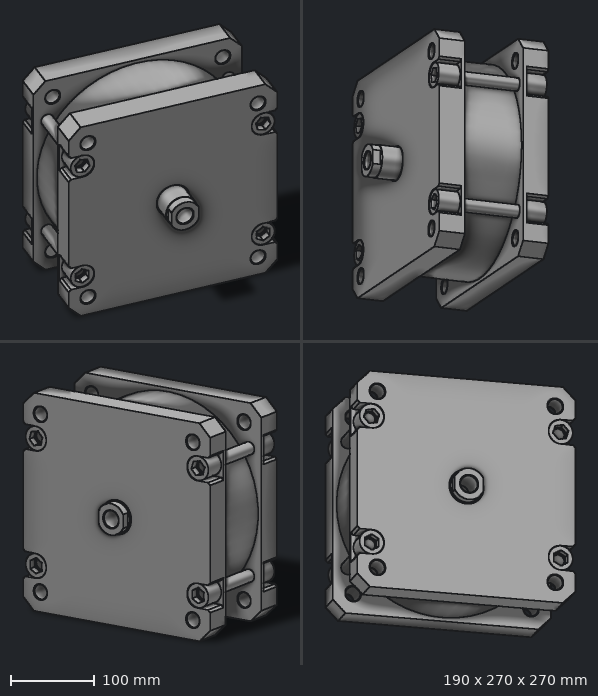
import cadquery as cq
import math


plate_side = 270.0
plate_thickness = 33.0
plate_corner_chamfer = 15.5
barrel_length = 75.0
barrel_diameter = 261.0

mount_hole_pitch = 220.0
mount_hole_diameter = 18.0
hole_edge_chamfer = 1.0

rod_diameter = 40.0
rod_end_diameter = 39.0
rod_left_projection = 12.0
rod_right_projection = 37.0
rod_flats_width = 35.0
rod_flat_length = 9.5
rod_neck_length = 11.5
rod_thread_diameter = 21.0
rod_thread_depth = 40.0
rod_thread_tip_angle = 118.0
rod_thread_chamfer = 1.0
rod_bore_chamfer = 1.3

tie_pitch_y = 234.0
tie_pitch_z = 157.5
tie_diameter = 16.0
tie_head_diameter = 30.0
tie_head_recess = 0.8
tie_socket_width = 17.0
tie_socket_depth = 10.0
tie_pilot_diameter = 15.0
tie_pilot_depth = 12.0
upper_socket_turn = 13.0
lower_socket_turn = 30.0

slot_width = 30.6
slot_depth = 28.0
slot_mouth_chamfer = 3.0

inner_face = barrel_length / 2
outer_face = inner_face + plate_thickness
slot_floor = outer_face - slot_depth
tie_end = outer_face - tie_head_recess
tie_y = tie_pitch_y / 2
tie_z = tie_pitch_z / 2
rod_left_end = -outer_face - rod_left_projection
rod_right_end = outer_face + rod_right_projection


def at_x(x):
    """Workplane across the axis at x, facing +X, with local axes Y and Z."""
    return cq.Workplane("YZ", origin=(x, 0, 0))


def mirrored_to_left(shape):
    """Copy reflected through the plane X = 0."""
    return shape.mirror("YZ")


def cone_cut(x, small_diameter, depth):
    """Cutter that chamfers a hole at x by depth, opening toward +X."""
    large_diameter = small_diameter + 2 * depth
    rim = at_x(x).circle(large_diameter / 2)
    return rim.workplane(offset=-depth).circle(small_diameter / 2).loft()


def make_head_slot(side_y, side_z):
    """Round-ended slot, open to the plate side, with a chamfered mouth."""
    radius = slot_width / 2
    edge_y = plate_side / 2
    mouth_y = edge_y - slot_mouth_chamfer
    mouth_half = radius + slot_mouth_chamfer
    return (
        at_x(slot_floor)
        .moveTo(side_y * tie_y, side_z * tie_z - radius)
        .lineTo(side_y * mouth_y, side_z * tie_z - radius)
        .lineTo(side_y * edge_y, side_z * tie_z - mouth_half)
        .lineTo(side_y * edge_y, side_z * tie_z + mouth_half)
        .lineTo(side_y * mouth_y, side_z * tie_z + radius)
        .lineTo(side_y * tie_y, side_z * tie_z + radius)
        .threePointArc(
            (side_y * (tie_y - radius), side_z * tie_z),
            (side_y * tie_y, side_z * tie_z - radius),
        )
        .close()
        .extrude(slot_depth)
    )


def make_right_plate():
    """Square end plate with mounting holes, tie rod holes, head slots and a rod bore."""
    plate = at_x(inner_face).rect(plate_side, plate_side).extrude(plate_thickness)
    plate = plate.edges("|X").chamfer(plate_corner_chamfer)

    mount_holes = (
        at_x(inner_face)
        .rect(mount_hole_pitch, mount_hole_pitch, forConstruction=True)
        .vertices()
        .circle(mount_hole_diameter / 2)
        .extrude(plate_thickness)
    )
    plate = plate.cut(mount_holes)
    plate = plate.edges("%CIRCLE").chamfer(hole_edge_chamfer)

    tie_holes = (
        at_x(inner_face)
        .rect(tie_pitch_y, tie_pitch_z, forConstruction=True)
        .vertices()
        .circle(tie_diameter / 2)
        .extrude(plate_thickness)
    )
    plate = plate.cut(tie_holes)
    for side_y in (-1, 1):
        for side_z in (-1, 1):
            plate = plate.cut(make_head_slot(side_y, side_z))

    rod_bore = at_x(inner_face).circle(rod_diameter / 2).extrude(plate_thickness)
    return plate.cut(rod_bore).cut(cone_cut(outer_face, rod_diameter, rod_bore_chamfer))


def make_barrel():
    """Round barrel between the plates, bored for the piston rod."""
    return at_x(-inner_face).circle(barrel_diameter / 2).circle(rod_diameter / 2).extrude(barrel_length)


def make_flat_cutter(end_x, side_y):
    """Wrench flat at the right rod end, running out in a 45 degree slope."""
    flat_y = rod_flats_width / 2
    runout = rod_neck_length - rod_flat_length
    flat_start = end_x - rod_flat_length
    return (
        cq.Workplane("XY")
        .moveTo(end_x, side_y * flat_y)
        .lineTo(flat_start, side_y * flat_y)
        .lineTo(flat_start - runout, side_y * (flat_y + runout))
        .lineTo(end_x, side_y * (flat_y + runout))
        .close()
        .extrude(rod_diameter / 2, both=True)
    )


def make_thread_hole(end_x):
    """Drilled hole with a pointed tip and a chamfered rim, at the right rod end."""
    radius = rod_thread_diameter / 2
    rim_radius = radius + rod_thread_chamfer
    floor_x = end_x - rod_thread_depth
    tip_x = floor_x - radius / math.tan(math.radians(rod_thread_tip_angle / 2))
    return (
        cq.Workplane("XY")
        .moveTo(tip_x, 0)
        .lineTo(floor_x, radius)
        .lineTo(end_x - rod_thread_chamfer, radius)
        .lineTo(end_x, rim_radius)
        .lineTo(end_x, 0)
        .close()
        .revolve(360, (0, 0, 0), (1, 0, 0))
    )


def make_end_turning(end_x):
    """Ring that turns the right rod end down to its smaller diameter."""
    neck_x = end_x - rod_neck_length
    return at_x(neck_x).circle(rod_diameter).circle(rod_end_diameter / 2).extrude(rod_neck_length)


def make_rod_end_cutters(end_x):
    """Everything removed from a rod end that points right."""
    return [
        make_end_turning(end_x),
        make_flat_cutter(end_x, 1),
        make_flat_cutter(end_x, -1),
        make_thread_hole(end_x),
    ]


def make_piston_rod():
    """Rod through the whole cylinder with flats and a thread hole at both ends."""
    rod = at_x(rod_left_end).circle(rod_diameter / 2).extrude(rod_right_end - rod_left_end)
    for cutter in make_rod_end_cutters(rod_right_end):
        rod = rod.cut(cutter)
    for cutter in make_rod_end_cutters(-rod_left_end):
        rod = rod.cut(mirrored_to_left(cutter))
    return rod


def make_tie_rod(side_y, side_z):
    """Tie rod with a round socket head at each end."""
    centre = (side_y * tie_y, side_z * tie_z)
    socket_turn = upper_socket_turn if side_z > 0 else lower_socket_turn
    head_length = tie_end - slot_floor
    socket_corner_diameter = tie_socket_width / math.cos(math.pi / 6)

    shank = at_x(-slot_floor).center(*centre).circle(tie_diameter / 2).extrude(2 * slot_floor)
    head = at_x(slot_floor).center(*centre).circle(tie_head_diameter / 2).extrude(head_length)
    socket = (
        at_x(tie_end)
        .center(*centre)
        .transformed(rotate=(0, 0, -socket_turn))
        .polygon(6, socket_corner_diameter)
        .extrude(-tie_socket_depth)
    )
    pilot = at_x(tie_end).center(*centre).circle(tie_pilot_diameter / 2).extrude(-tie_pilot_depth)
    head = head.cut(socket).cut(pilot)
    return shank.union(head).union(mirrored_to_left(head))


right_plate = make_right_plate()
left_plate = mirrored_to_left(right_plate)
barrel = make_barrel()
piston_rod = make_piston_rod()
tie_rods = [make_tie_rod(side_y, side_z) for side_y in (-1, 1) for side_z in (-1, 1)]

result = cq.Compound.makeCompound(
    [
        left_plate.val(),
        right_plate.val(),
        barrel.val(),
        piston_rod.val(),
        *[tie_rod.val() for tie_rod in tie_rods],
    ]
)